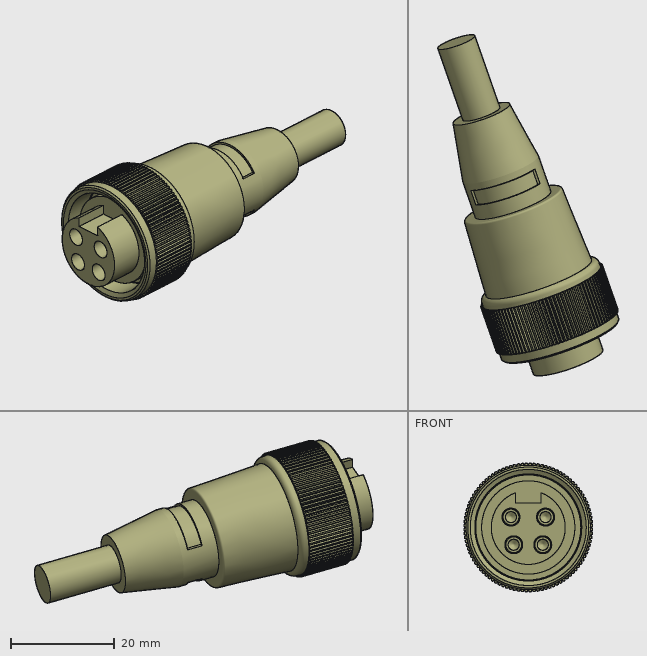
import cadquery as cq
import math


TOTAL_LENGTH = 67.0
FLANGE_FACE_Y = 6.7
HUB_FACE_Y = 10.05
SHELL_FRONT_Y = 17.6
SHELL_REAR_Y = 33.0
NECK_REAR_Y = 40.5
RELIEF_REAR_Y = 52.0

CORE_RADIUS = 7.2
FLANGE_RADIUS = 9.05
HUB_RADIUS = 10.2
SHELL_FRONT_RADIUS = 10.85
SHELL_REAR_RADIUS = 10.05
SHELL_REAR_FILLET = 0.4
NECK_RADIUS = 7.8
RELIEF_REAR_RADIUS = 5.8
CABLE_RADIUS = 3.8

KEYWAY_WIDTH = 5.0
KEYWAY_FLOOR_Z = 4.75

POCKET_FRONT_Y = 36.05
POCKET_LENGTH = 3.0
POCKET_WALL_Z = 4.15
POCKET_FLOOR_RADIUS = 7.4

UPPER_SOCKET_X = 3.35
UPPER_SOCKET_Z = 2.0
LOWER_SOCKET_X = 2.8
LOWER_SOCKET_Z = -3.35
SOCKET_HOLE_RADIUS = 1.75
CONTACT_FACE_Y = 3.35
CONTACT_CHAMFER = 0.2
CONTACT_BORE_RADIUS = 1.1
CONTACT_BORE_DEPTH = 5.35
CONTACT_TIP_DEPTH = 0.7

NUT_FRONT_Y = 4.5
NUT_RADIUS = 12.05
NUT_FRONT_CHAMFER = 0.35
NUT_REAR_FILLET = 1.1
NUT_BORE_RADIUS = 10.4
NUT_MOUTH_RADIUS = 11.25
NUT_MOUTH_DEPTH = 0.5

KNURL_FRONT_Y = 6.55
KNURL_LENGTH = 9.25
KNURL_RADIUS = 12.495
GROOVE_BOTTOM_RADIUS = 12.1
TOOTH_COUNT = 100
TOOTH_TIP_WIDTH = 0.35


def revolve_about_y(profile):
    """Turn a closed (radius, y) outline into a solid about the Y axis."""
    return cq.Workplane("XY").polyline(profile).close().revolve(360, (0, 0, 0), (0, 1, 0))


def rod_along_y(radius, start_y, length):
    """Cylinder on the Y axis that starts at start_y."""
    return cq.Workplane("XZ", origin=(0, start_y, 0)).circle(radius).extrude(-length)


def polar_point(radius, angle):
    return radius * math.cos(angle), radius * math.sin(angle)


def core_and_hub():
    return revolve_about_y(
        [
            (0, 0),
            (CORE_RADIUS, 0),
            (CORE_RADIUS, FLANGE_FACE_Y),
            (FLANGE_RADIUS, FLANGE_FACE_Y),
            (FLANGE_RADIUS, HUB_FACE_Y),
            (HUB_RADIUS, HUB_FACE_Y),
            (HUB_RADIUS, SHELL_FRONT_Y),
            (0, SHELL_FRONT_Y),
        ]
    )


def shell():
    """Tapered shell with a rounded rear rim."""
    taper = revolve_about_y(
        [
            (0, SHELL_FRONT_Y),
            (SHELL_FRONT_RADIUS, SHELL_FRONT_Y),
            (SHELL_REAR_RADIUS, SHELL_REAR_Y),
            (0, SHELL_REAR_Y),
        ]
    )
    return taper.faces(">Y").edges().fillet(SHELL_REAR_FILLET)


def strain_relief_and_cable():
    return revolve_about_y(
        [
            (0, SHELL_REAR_Y),
            (NECK_RADIUS, SHELL_REAR_Y),
            (NECK_RADIUS, NECK_REAR_Y),
            (RELIEF_REAR_RADIUS, RELIEF_REAR_Y),
            (CABLE_RADIUS, RELIEF_REAR_Y),
            (CABLE_RADIUS, TOTAL_LENGTH),
            (0, TOTAL_LENGTH),
        ]
    )


def keyway():
    height = CORE_RADIUS - KEYWAY_FLOOR_Z
    base = cq.Workplane("XY", origin=(0, 0, KEYWAY_FLOOR_Z))
    return base.box(KEYWAY_WIDTH, FLANGE_FACE_Y, height, centered=(True, False, False))


def grip_pockets():
    """Curved-floor pockets on both sides of the neck, cut off by horizontal walls."""
    outer = rod_along_y(SHELL_REAR_RADIUS, POCKET_FRONT_Y, POCKET_LENGTH)
    core = rod_along_y(POCKET_FLOOR_RADIUS, POCKET_FRONT_Y, POCKET_LENGTH)
    uncut_middle = cq.Workplane("XY").box(2 * SHELL_REAR_RADIUS, 2 * TOTAL_LENGTH, 2 * POCKET_WALL_Z)
    return outer.cut(core).cut(uncut_middle)


def contact_socket(x, z):
    """Hole in the core that ends on a chamfered contact sleeve with a cone-ended bore."""
    bore_end_y = CONTACT_FACE_Y + CONTACT_BORE_DEPTH
    sleeve_radius = SOCKET_HOLE_RADIUS - CONTACT_CHAMFER
    profile = [
        (0, 0),
        (SOCKET_HOLE_RADIUS, 0),
        (SOCKET_HOLE_RADIUS, CONTACT_FACE_Y + CONTACT_CHAMFER),
        (sleeve_radius, CONTACT_FACE_Y),
        (CONTACT_BORE_RADIUS, CONTACT_FACE_Y),
        (CONTACT_BORE_RADIUS, bore_end_y),
        (0, bore_end_y + CONTACT_TIP_DEPTH),
    ]
    return revolve_about_y(profile).translate((x, 0, z))


def make_plug():
    plug = core_and_hub().union(shell()).union(strain_relief_and_cable())
    plug = plug.cut(keyway()).cut(grip_pockets())
    for side in (-1, 1):
        plug = plug.cut(contact_socket(side * UPPER_SOCKET_X, UPPER_SOCKET_Z))
        plug = plug.cut(contact_socket(side * LOWER_SOCKET_X, LOWER_SOCKET_Z))
    return plug


def nut_barrel():
    """Barrel with a rounded rear edge; its narrow rear hole fits the hub of the plug."""
    rear_flat_radius = NUT_RADIUS - NUT_REAR_FILLET
    rear_arc_start_y = SHELL_FRONT_Y - NUT_REAR_FILLET
    arc_offset = NUT_REAR_FILLET * math.sqrt(0.5)
    return (
        cq.Workplane("XY")
        .moveTo(NUT_MOUTH_RADIUS, NUT_FRONT_Y)
        .lineTo(NUT_RADIUS - NUT_FRONT_CHAMFER, NUT_FRONT_Y)
        .lineTo(NUT_RADIUS, NUT_FRONT_Y + NUT_FRONT_CHAMFER)
        .lineTo(NUT_RADIUS, rear_arc_start_y)
        .threePointArc(
            (rear_flat_radius + arc_offset, rear_arc_start_y + arc_offset),
            (rear_flat_radius, SHELL_FRONT_Y),
        )
        .lineTo(HUB_RADIUS, SHELL_FRONT_Y)
        .lineTo(HUB_RADIUS, HUB_FACE_Y)
        .lineTo(NUT_BORE_RADIUS, HUB_FACE_Y)
        .lineTo(NUT_BORE_RADIUS, NUT_FRONT_Y + NUT_MOUTH_DEPTH)
        .close()
        .revolve(360, (0, 0, 0), (0, 1, 0))
    )


def knurl_band():
    """Toothed ring around the barrel; a groove lies on the +X axis."""
    pitch = 2 * math.pi / TOOTH_COUNT
    half_tip = TOOTH_TIP_WIDTH / KNURL_RADIUS / 2
    outline = []
    for tooth in range(TOOTH_COUNT):
        groove_angle = tooth * pitch
        tip_angle = groove_angle + pitch / 2
        outline.append(polar_point(GROOVE_BOTTOM_RADIUS, groove_angle))
        outline.append(polar_point(KNURL_RADIUS, tip_angle - half_tip))
        outline.append(polar_point(KNURL_RADIUS, tip_angle + half_tip))
    return (
        cq.Workplane("XZ", origin=(0, KNURL_FRONT_Y, 0))
        .polyline(outline)
        .close()
        .circle(NUT_MOUTH_RADIUS)
        .extrude(-KNURL_LENGTH)
    )


def make_nut():
    return nut_barrel().union(knurl_band())


plug = make_plug()
nut = make_nut()

result = cq.Compound.makeCompound([plug.val(), nut.val()])